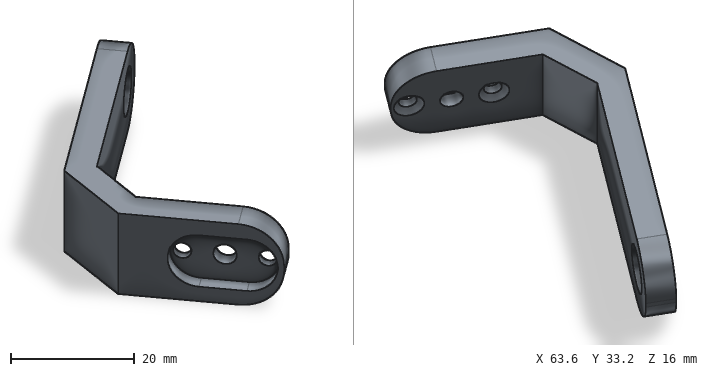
import cadquery as cq
import math

thickness = 5.0
height = 16.0
base_length = 14.75
left_rise = 29.7
right_rise = 19.15
corner_radius = 7.5

bolt_diameter = 7.2
bore_diameter = 8.3
lip_thickness = 0.8
bolt_setback = corner_radius

pocket_width = 10.2
pocket_length = 18.0
pocket_depth = 2.5
pocket_tip_wall = 1.0
center_hole_diameter = 3.8
side_hole_diameter = 3.0
side_hole_spacing = 7.0
countersink_depth = 1.0

bend_angle = 45
left_length = left_rise * math.sqrt(2)
right_length = right_rise * math.sqrt(2)
left_bend = (0, 0)
right_bend = (base_length, 0)


def arm_plane(bend, side):
    """Plane on an arm's outer face: x runs up the arm, the normal points out of the part."""
    return cq.Plane(origin=(*bend, 0), xDir=(side, 1, 0), normal=(side, -1, 0))


left_face = arm_plane(left_bend, -1)
right_face = arm_plane(right_bend, 1)


def strap():
    inner_shift = thickness * math.tan(math.radians(bend_angle / 2))
    tip_shift = thickness / math.sqrt(2)
    outline = [
        left_bend,
        right_bend,
        (base_length + right_rise, right_rise),
        (base_length + right_rise - tip_shift, right_rise + tip_shift),
        (base_length - inner_shift, thickness),
        (inner_shift, thickness),
        (tip_shift - left_rise, left_rise + tip_shift),
        (-left_rise, left_rise),
    ]
    body = cq.Workplane("XY").polyline(outline).close().extrude(height / 2, both=True)
    for face, length in ((left_face, left_length), (right_face, right_length)):
        tip = face.toWorldCoords((length, 0, -thickness / 2))
        tip_edges = cq.selectors.BoxSelector(
            (tip.x - thickness, tip.y - thickness, -height),
            (tip.x + thickness, tip.y + thickness, height),
        )
        corner_edges = body.edges(tip_edges).edges(cq.selectors.ParallelDirSelector(face.zDir))
        body = corner_edges.fillet(corner_radius)
    return body


def bolt_hole():
    center = cq.Workplane(left_face).center(left_length - bolt_setback, 0)
    hole = center.circle(bolt_diameter / 2).extrude(-thickness)
    bore = center.workplane(offset=-thickness).circle(bore_diameter / 2).extrude(thickness - lip_thickness)
    return hole.union(bore)


def pocket():
    middle = right_length - pocket_tip_wall - pocket_length / 2
    floor = cq.Workplane(right_face).center(middle, 0)
    recess = floor.slot2D(pocket_length, pocket_width).extrude(-pocket_depth)
    holes = floor.circle(center_hole_diameter / 2).extrude(-thickness)
    for side in (-1, 1):
        center = floor.center(side * side_hole_spacing, 0)
        hole = center.circle(side_hole_diameter / 2).extrude(-thickness)
        countersink = (
            center.workplane(offset=-thickness)
            .circle(side_hole_diameter / 2 + countersink_depth)
            .workplane(offset=countersink_depth)
            .circle(side_hole_diameter / 2)
            .loft(ruled=True)
        )
        holes = holes.union(hole).union(countersink)
    return recess.union(holes)


result = strap().cut(bolt_hole()).cut(pocket())